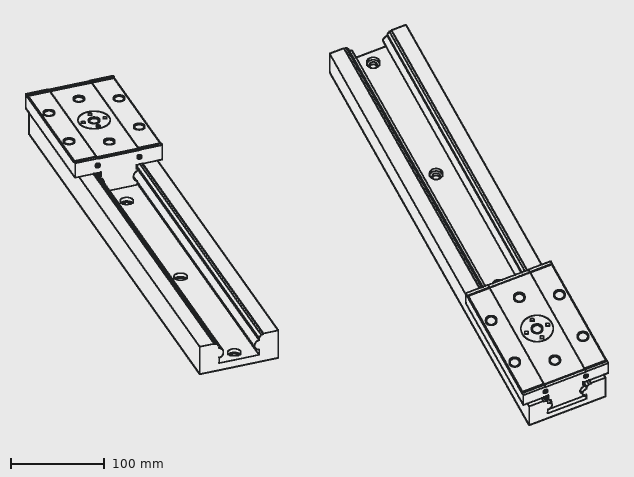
import cadquery as cq
rail_length = 508.0
rail_width = 90.0
rail_height = 35.0
channel_floor = 9.0
channel_half_width = 23.0
bevel_outer_half_width = 25.5
bevel_foot = 30.5
bevel_head = 34.0
lip_half_width = 28.0

rod_diameter = 12.0
rod_offset = 24.0
rod_height = 22.0

mount_pitch = 160.0
mount_count = 4
mount_diameter = 8.5
mount_head_diameter = 14.0
mount_head_depth = 4.5

carriage_start = 3.5
carriage_length = 147.0
carriage_width = 100.0
carriage_top = 54.5
wing_bottom = 36.0
cap_length = 3.5
edge_chamfer = 1.0
pad_width = 48.0
pad_depth = 0.5

neck_half_width = 20.5
neck_bottom = 31.0
tongue_half_width = 21.5
tongue_bottom = 10.5
groove_diameter = 14.0

tapped_diameter = 10.0
tapped_rim_diameter = 12.0
tapped_rim_depth = 1.0
corner_pitch_x = 60.0
corner_pitch_y = 80.5
socket_pitch = 90.5
socket_depth = 1.5

port_circle = 25.0
port_diameter = 4.0
port_depth = 5.0
spotface_diameter = 34.5
spotface_depth = 0.25

cap_hole_diameter = 2.5
cap_recess_diameter = 5.0
cap_recess_depth = 1.0
cap_hole_offset = 24.0
cap_hole_height = 45.0

carriage_end = carriage_start + carriage_length
carriage_middle = carriage_start + carriage_length / 2
pad_top = carriage_top - pad_depth


def extrude_profile(outline, start, length):
    """Extrude one half of a YZ outline along X and mirror it about the mid plane."""
    half = cq.Workplane("YZ", origin=(start, 0, 0)).polyline(outline).close().extrude(length)
    return half.union(half.mirror("XZ"))


def rods(diameter, start, length):
    """Two cylinders along X on the rod axes."""
    axes = [(-rod_offset, rod_height), (rod_offset, rod_height)]
    return cq.Workplane("YZ", origin=(start, 0, 0)).pushPoints(axes).circle(diameter / 2).extrude(length)


def drill(body, points, top, diameter, depth):
    """Cut vertical round holes from the given height downwards."""
    plane = cq.Workplane("XY", origin=(0, 0, top))
    return body.cut(plane.pushPoints(points).circle(diameter / 2).extrude(-depth), clean=False)


def make_rail():
    """The channel with its counterbored mounting holes and both guide rods."""
    outline = [
        (0, 0),
        (rail_width / 2, 0),
        (rail_width / 2, rail_height),
        (lip_half_width, rail_height),
        (lip_half_width, bevel_head),
        (bevel_outer_half_width, bevel_head),
        (channel_half_width, bevel_foot),
        (channel_half_width, channel_floor),
        (0, channel_floor),
    ]
    rail = extrude_profile(outline, 0, rail_length)

    first_mount = (rail_length - (mount_count - 1) * mount_pitch) / 2
    mounts = [(first_mount + i * mount_pitch, 0) for i in range(mount_count)]
    rail = drill(rail, mounts, channel_floor, mount_diameter, channel_floor)
    rail = drill(rail, mounts, channel_floor, mount_head_diameter, mount_head_depth)

    guide_rods = rods(rod_diameter, 0, rail_length)
    return rail.cut(guide_rods).union(guide_rods, clean=False)


def carriage_slice(start, length):
    """A length of the carriage section: wings, neck and tongue."""
    outline = [
        (0, tongue_bottom),
        (tongue_half_width, tongue_bottom),
        (tongue_half_width, neck_bottom),
        (neck_half_width, neck_bottom),
        (neck_half_width, wing_bottom),
        (carriage_width / 2, wing_bottom),
        (carriage_width / 2, carriage_top),
        (0, carriage_top),
    ]
    return extrude_profile(outline, start, length)


def make_carriage():
    """Chamfered block and end caps, grooved for the rods, before its holes are drilled."""
    block_start = carriage_start + cap_length
    carriage = carriage_slice(block_start, carriage_length - 2 * cap_length)
    carriage = carriage.faces(">Z").edges().chamfer(edge_chamfer)
    for cap_start in (carriage_start, carriage_end - cap_length):
        carriage = carriage.union(carriage_slice(cap_start, cap_length), clean=False)

    carriage = carriage.cut(rods(groove_diameter, 0, rail_length), clean=False)
    pad = cq.Workplane("XY", origin=(carriage_middle, 0, pad_top)).rect(carriage_length, pad_width)
    return carriage.cut(pad.extrude(pad_depth), clean=False)


def add_top_holes(carriage):
    """Through holes in the wings; sockets, ports and a round spotface along the middle."""
    corners = [
        (carriage_middle + sx * corner_pitch_x / 2, sy * corner_pitch_y / 2)
        for sx in (-1, 1) for sy in (-1, 1)
    ]
    carriage = drill(carriage, corners, carriage_top, tapped_diameter, carriage_top - wing_bottom)
    carriage = drill(carriage, corners, carriage_top, tapped_rim_diameter, tapped_rim_depth)

    carriage = drill(carriage, [(carriage_middle, 0)], pad_top, spotface_diameter, spotface_depth)
    sockets = [(carriage_middle + i * socket_pitch / 2, 0) for i in (-1, 0, 1)]
    carriage = drill(carriage, sockets, pad_top, tapped_diameter, socket_depth)
    carriage = drill(carriage, sockets, pad_top, tapped_rim_diameter, tapped_rim_depth)

    reach = port_circle / 2
    ports = [
        (carriage_middle + dx * reach, dy * reach)
        for dx, dy in ((1, 0), (0, 1), (-1, 0), (0, -1))
    ]
    return drill(carriage, ports, pad_top, port_diameter, port_depth)


def add_cap_holes(carriage):
    """Small recessed holes in the outer face of each end cap."""
    points = [(-cap_hole_offset, cap_hole_height), (cap_hole_offset, cap_hole_height)]
    for face_x, inward in ((carriage_start, 1), (carriage_end, -1)):
        face = cq.Workplane("YZ", origin=(face_x, 0, 0)).pushPoints(points)
        holes = face.circle(cap_hole_diameter / 2).extrude(inward * cap_length)
        recesses = face.circle(cap_recess_diameter / 2).extrude(inward * cap_recess_depth)
        carriage = carriage.cut(holes, clean=False).cut(recesses, clean=False)
    return carriage


rail = make_rail()
carriage = add_cap_holes(add_top_holes(make_carriage()))

result = cq.Compound.makeCompound([rail.val(), carriage.val()])